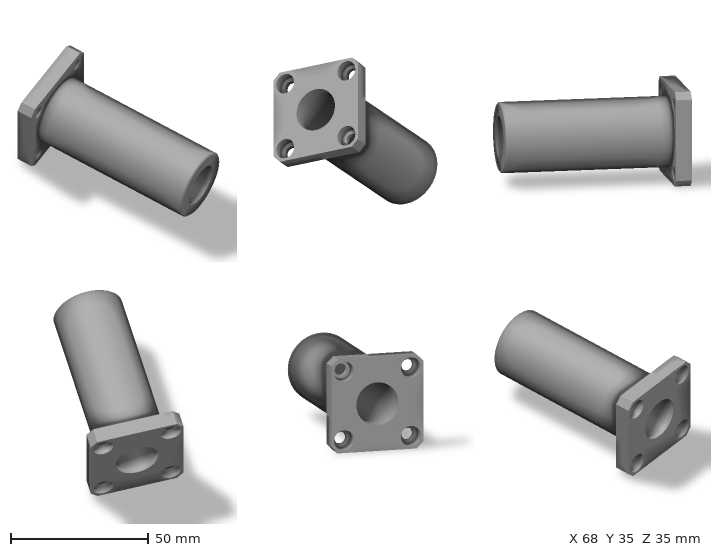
import cadquery as cq

total_length = 68.0
flange_side = 35.0
flange_thickness = 5.85
flange_corner_chamfer = 2.5

sleeve_diameter = 26.0
bore_diameter = 16.0
end_diameter = 25.0
end_chamfer_length = 0.5
end_chamfer_radial = (sleeve_diameter - end_diameter) / 2

neck_diameter = 25.4
neck_length = 0.4

hole_spacing = 25.5
hole_diameter = 4.5
counterbore_diameter = 7.5
counterbore_depth = 4.1


def make_flange():
    """Square plate with bevelled corners, front face on X = 0."""
    plate = cq.Workplane("YZ").rect(flange_side, flange_side).extrude(flange_thickness)
    return plate.edges("|X").chamfer(flange_corner_chamfer)


def make_sleeve():
    """Round sleeve with a narrow neck behind the flange and a bevelled free end."""
    radius = sleeve_diameter / 2
    neck_radius = neck_diameter / 2
    neck_end = flange_thickness + neck_length
    profile = (
        cq.Workplane("XY")
        .moveTo(0, 0)
        .lineTo(0, neck_radius)
        .lineTo(neck_end, neck_radius)
        .lineTo(neck_end, radius)
        .lineTo(total_length - end_chamfer_length, radius)
        .lineTo(total_length, radius - end_chamfer_radial)
        .lineTo(total_length, 0)
        .close()
    )
    return profile.revolve(360, (0, 0, 0), (1, 0, 0))


def mounting_cutters(diameter, depth):
    """Four cylinders starting at the flange's front face."""
    return (
        cq.Workplane("YZ")
        .rect(hole_spacing, hole_spacing, forConstruction=True)
        .vertices()
        .circle(diameter / 2)
        .extrude(depth)
    )


bore = cq.Workplane("YZ").circle(bore_diameter / 2).extrude(total_length)

result = (
    make_flange()
    .union(make_sleeve())
    .cut(bore)
    .cut(mounting_cutters(hole_diameter, flange_thickness))
    .cut(mounting_cutters(counterbore_diameter, counterbore_depth))
)